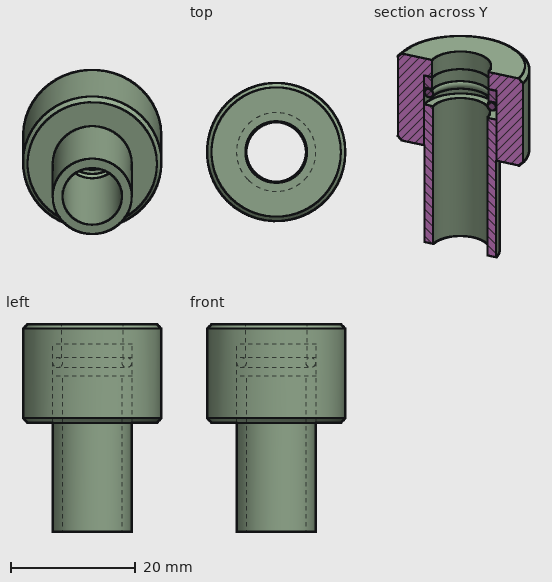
import cadquery as cq

total_height = 33.32
head_diameter = 22.22
head_height = 15.83
head_chamfer = 0.73

entry_bore_diameter = 9.9
tube_diameter = 12.7
tube_bore_diameter = 9.53

entry_lip_depth = 3.2
spacer_height = 2.15
seal_inner_diameter = 9.53
seal_section_diameter = (tube_diameter - seal_inner_diameter) / 2
tube_end_depth = 8.33

head_bottom = total_height - head_height
spacer_top = total_height - entry_lip_depth
spacer_bottom = spacer_top - spacer_height
tube_top = total_height - tube_end_depth


def cylinder(diameter, bottom, top):
    """Solid cylinder on the Z axis between two levels."""
    return cq.Workplane("XY").workplane(offset=bottom).circle(diameter / 2).extrude(top - bottom)


def sleeve(outer_diameter, bore_diameter, bottom, top):
    """Plain hollow cylinder on the Z axis between two levels."""
    return cylinder(outer_diameter, bottom, top).cut(cylinder(bore_diameter, bottom, top))


def make_housing():
    """Chamfered head with an entry bore above a wider bore for the stacked parts."""
    head = cylinder(head_diameter, head_bottom, total_height)
    head = head.faces("<Z or >Z").edges().chamfer(head_chamfer)
    entry_bore = cylinder(entry_bore_diameter, spacer_top, total_height)
    stack_bore = cylinder(tube_diameter, head_bottom, spacer_top)
    return head.cut(entry_bore).cut(stack_bore)


def make_seal():
    """O-ring touching the spacer above and the housing bore around it."""
    section_radius = seal_section_diameter / 2
    ring_radius = seal_inner_diameter / 2 + section_radius
    section = cq.Workplane("XZ").center(-ring_radius, spacer_bottom - section_radius).circle(section_radius)
    return section.revolve(360, (ring_radius, 0), (ring_radius, 1))


housing = make_housing()
spacer = sleeve(tube_diameter, entry_bore_diameter, spacer_bottom, spacer_top)
seal = make_seal()
tube = sleeve(tube_diameter, tube_bore_diameter, 0, tube_top)

result = cq.Compound.makeCompound([housing.val(), spacer.val(), seal.val(), tube.val()])